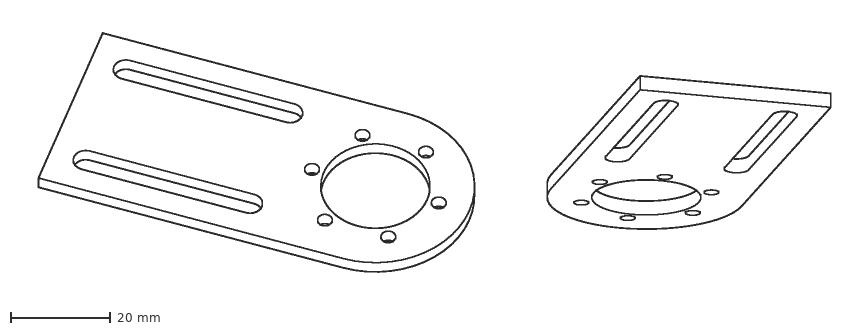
import cadquery as cq

length = 85.0
width = 40.0
thickness = 3.0
end_radius = width / 2
bore_x = length - end_radius

bore_diameter = 22.0
screw_circle_diameter = 27.0
screw_hole_diameter = 3.0
screw_count = 6

slot_length = 40.0
slot_width = 5.0
slot_spacing = 25.0
slot_end_margin = 5.0
slot_center_x = slot_end_margin + slot_length / 2


def make_plate():
    return (
        cq.Workplane("XY")
        .moveTo(0, -end_radius)
        .lineTo(bore_x, -end_radius)
        .threePointArc((length, 0), (bore_x, end_radius))
        .lineTo(0, end_radius)
        .close()
        .extrude(thickness)
    )


def make_bore():
    return cq.Workplane("XY").center(bore_x, 0).circle(bore_diameter / 2).extrude(thickness)


def make_screw_holes():
    return (
        cq.Workplane("XY")
        .center(bore_x, 0)
        .polarArray(screw_circle_diameter / 2, 0, 360, screw_count)
        .circle(screw_hole_diameter / 2)
        .extrude(thickness)
    )


def make_slots():
    return (
        cq.Workplane("XY")
        .pushPoints([(slot_center_x, side * slot_spacing / 2) for side in (-1, 1)])
        .slot2D(slot_length, slot_width)
        .extrude(thickness)
    )


result = make_plate().cut(make_bore()).cut(make_screw_holes()).cut(make_slots())